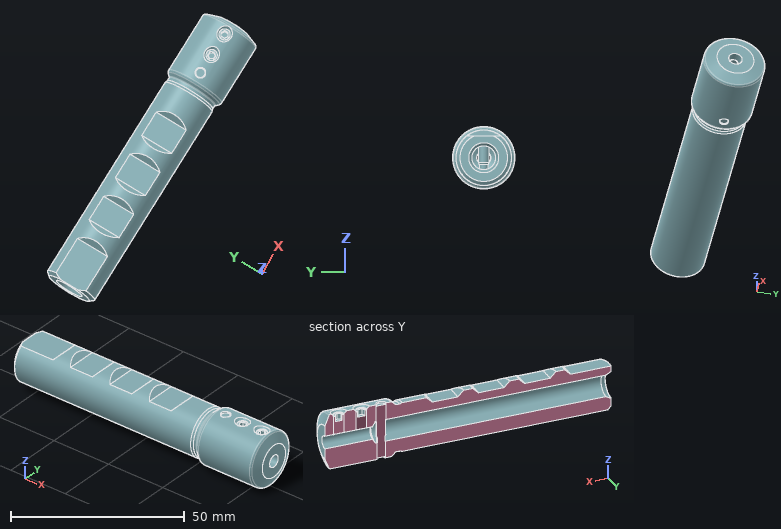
import cadquery as cq
import math

LENGTH = 90.0

SHANK_RADIUS = 8.0
SHANK_CHAMFER_LENGTH = 1.0
SHANK_CHAMFER_DEPTH = 1.2

FLAT_HEIGHT = 6.2
REAR_FLAT_END = 12.8
FLAT_LENGTH = 8.0
FLAT_PITCH = 14.5
FIRST_FLAT_CENTER = 23.2
CLOSED_FLAT_COUNT = 3

GROOVE_RADIUS = 7.7
GROOVE_TAPER_START = 65.7
GROOVE_FLOOR_START = 66.5
GROOVE_FLOOR_END = 67.7
GROOVE_FILLET = 0.4

HEAD_RADIUS = 9.0
HEAD_SHOULDER_FILLET = 1.1
NOSE_LENGTH = 1.4
NOSE_RADIUS = 5.4
NOSE_FILLET = 0.6

REAR_BORE_RADIUS = 3.4
REAR_BORE_MOUTH_RADIUS = 4.3
REAR_BORE_MOUTH_DEPTH = 1.7
REAR_BORE_END = 74.1
DRILL_POINT_ANGLE = 118.0
TOOL_BORE_RADIUS = 2.0

PIN_X = 72.3
PIN_RADIUS = 1.5
PIN_TOP = 8.55
PIN_BOTTOM = -PIN_TOP
PIN_TIP_RADIUS = 1.3
PIN_TAPER_TOP = -1.4
PIN_TAPER_BOTTOM = -2.0
PIN_TOP_CHAMFER = 0.2

SCREW_POSITIONS = (78.5, 85.6)
SOCKET_TURNS = (0, 30)
SCREW_RADIUS = 1.6
SCREW_TOP = 8.0
SOCKET_ACROSS_FLATS = 2.0
SOCKET_DEPTH = 1.8
SCREW_HOLE_MOUTH_RADIUS = 2.4


def upright_cylinder(x, radius, bottom, top):
    """Cylinder along Z, centred on the part axis at the given X."""
    return cq.Workplane("XY", origin=(x, 0, bottom)).circle(radius).extrude(top - bottom)


def fillet_ring(body, x, radius):
    """Round the circular edge that lies at the given X."""
    margin = 0.045
    reach = 2 * HEAD_RADIUS
    ring = cq.selectors.BoxSelector((x - margin, -reach, -reach), (x + margin, reach, reach))
    return body.edges(ring).fillet(radius)


def make_outer_body():
    """Turned shank, relief groove and head, with the 45 degree shoulder and nose rounded."""
    shoulder_end = GROOVE_FLOOR_END + HEAD_RADIUS - GROOVE_RADIUS
    nose_start = LENGTH - NOSE_LENGTH
    body = (
        cq.Workplane("XY")
        .lineTo(0, SHANK_RADIUS - SHANK_CHAMFER_DEPTH)
        .lineTo(SHANK_CHAMFER_LENGTH, SHANK_RADIUS)
        .lineTo(GROOVE_TAPER_START, SHANK_RADIUS)
        .lineTo(GROOVE_FLOOR_START, GROOVE_RADIUS)
        .lineTo(GROOVE_FLOOR_END, GROOVE_RADIUS)
        .lineTo(shoulder_end, HEAD_RADIUS)
        .lineTo(nose_start, HEAD_RADIUS)
        .lineTo(LENGTH, NOSE_RADIUS)
        .lineTo(LENGTH, 0)
        .close()
        .revolve(360, (0, 0, 0), (1, 0, 0))
    )
    body = fillet_ring(body, GROOVE_FLOOR_END, GROOVE_FILLET)
    body = fillet_ring(body, shoulder_end, HEAD_SHOULDER_FILLET)
    return fillet_ring(body, nose_start, NOSE_FILLET)


def flat_cutter(start, end):
    """Trapezoidal notch with 45 degree end ramps, cutting down to the flat."""
    rise = SHANK_RADIUS
    return (
        cq.Workplane("XZ")
        .polyline([
            (start, FLAT_HEIGHT),
            (end, FLAT_HEIGHT),
            (end + rise, FLAT_HEIGHT + rise),
            (start - rise, FLAT_HEIGHT + rise),
        ])
        .close()
        .extrude(SHANK_RADIUS, both=True)
    )


def bore_cutter():
    """Rear bore with a tapered mouth and a drill-point step into the tool bore."""
    point_length = (REAR_BORE_RADIUS - TOOL_BORE_RADIUS) / math.tan(math.radians(DRILL_POINT_ANGLE / 2))
    return (
        cq.Workplane("XY")
        .lineTo(0, REAR_BORE_MOUTH_RADIUS)
        .lineTo(REAR_BORE_MOUTH_DEPTH, REAR_BORE_RADIUS)
        .lineTo(REAR_BORE_END, REAR_BORE_RADIUS)
        .lineTo(REAR_BORE_END + point_length, TOOL_BORE_RADIUS)
        .lineTo(LENGTH, TOOL_BORE_RADIUS)
        .lineTo(LENGTH, 0)
        .close()
        .revolve(360, (0, 0, 0), (1, 0, 0))
    )


def screw_hole_cutter(x):
    """Threaded hole with a 45 degree countersink, from the axis to the head surface."""
    mouth_depth = SCREW_HOLE_MOUTH_RADIUS - SCREW_RADIUS
    mouth = (
        cq.Workplane("XY", origin=(x, 0, HEAD_RADIUS - mouth_depth))
        .circle(SCREW_RADIUS)
        .workplane(offset=mouth_depth)
        .circle(SCREW_HOLE_MOUTH_RADIUS)
        .loft()
    )
    return upright_cylinder(x, SCREW_RADIUS, 0, HEAD_RADIUS).union(mouth)


def make_holder():
    """Holder with its clamping flats, stepped bore, pin hole and clamp screw holes."""
    holder = make_outer_body()
    holder = holder.cut(flat_cutter(-SHANK_RADIUS, REAR_FLAT_END))
    for index in range(CLOSED_FLAT_COUNT):
        center = FIRST_FLAT_CENTER + index * FLAT_PITCH
        holder = holder.cut(flat_cutter(center - FLAT_LENGTH / 2, center + FLAT_LENGTH / 2))
    holder = holder.cut(bore_cutter())
    holder = holder.cut(upright_cylinder(PIN_X, PIN_RADIUS, 0, HEAD_RADIUS))
    holder = holder.cut(upright_cylinder(PIN_X, PIN_TIP_RADIUS, -HEAD_RADIUS, 0))
    for x in SCREW_POSITIONS:
        holder = holder.cut(screw_hole_cutter(x))
    return holder


def make_stop_pin():
    """Pin crossing the rear bore, its reduced tip seated in the lower wall."""
    return (
        cq.Workplane("XZ", origin=(PIN_X, 0, 0))
        .moveTo(0, PIN_BOTTOM)
        .lineTo(PIN_TIP_RADIUS, PIN_BOTTOM)
        .lineTo(PIN_TIP_RADIUS, PIN_TAPER_BOTTOM)
        .lineTo(PIN_RADIUS, PIN_TAPER_TOP)
        .lineTo(PIN_RADIUS, PIN_TOP - PIN_TOP_CHAMFER)
        .lineTo(PIN_RADIUS - PIN_TOP_CHAMFER, PIN_TOP)
        .lineTo(0, PIN_TOP)
        .close()
        .revolve(360, (0, 0, 0), (0, 1, 0))
    )


def make_clamp_screw(x, socket_turn):
    """Headless hexagon socket screw ending level with the top of the tool bore."""
    socket_diameter = SOCKET_ACROSS_FLATS / math.cos(math.radians(30))
    return (
        upright_cylinder(x, SCREW_RADIUS, TOOL_BORE_RADIUS, SCREW_TOP)
        .faces(">Z")
        .workplane()
        .transformed(rotate=(0, 0, socket_turn))
        .polygon(6, socket_diameter)
        .cutBlind(-SOCKET_DEPTH)
    )


holder = make_holder()
stop_pin = make_stop_pin()
clamp_screws = [make_clamp_screw(x, turn) for x, turn in zip(SCREW_POSITIONS, SOCKET_TURNS)]

result = cq.Compound.makeCompound([
    holder.val(),
    stop_pin.val(),
    *[screw.val() for screw in clamp_screws],
])